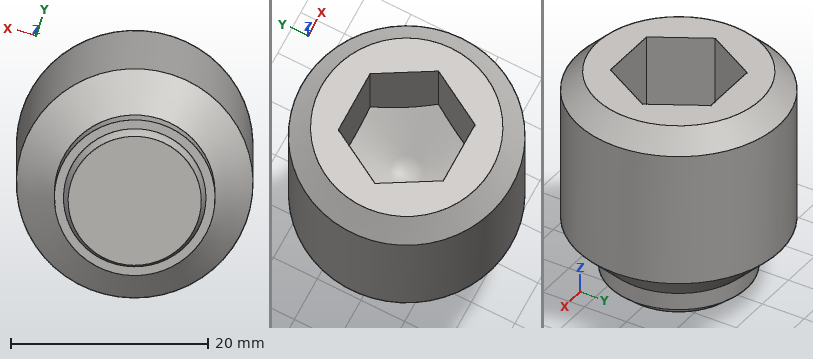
import cadquery as cq
import math

screw_diameter = 24.0
overall_height = 25.0
top_chamfer = 2.25
collar_diameter = 16.3
collar_bottom = 1.25
collar_top = 3.25

hex_across_flats = 12.0
socket_depth = 9.0
drill_point_angle = 120.0

ball_radius = 7.5
ball_flat_radius = 6.75

screw_radius = screw_diameter / 2
collar_radius = collar_diameter / 2
taper_top = collar_top + screw_radius - collar_radius
ball_center = math.sqrt(ball_radius**2 - ball_flat_radius**2)
hex_across_corners = hex_across_flats / math.cos(math.radians(30))
socket_floor = overall_height - socket_depth


def make_ball():
    """Sphere with its lower cap cut off at Z = 0."""
    sphere = cq.Workplane("XY").sphere(ball_radius).translate((0, 0, ball_center))
    keep_size = 2 * (ball_radius + ball_center)
    upper_space = cq.Workplane("XY").box(keep_size, keep_size, keep_size, centered=(True, True, False))
    return sphere.intersect(upper_space)


def make_socket():
    """Hexagonal prism whose floor is a cone reaching out to the hexagon corners."""
    corner_radius = hex_across_corners / 2
    cone_height = corner_radius / math.tan(math.radians(drill_point_angle / 2))
    prism = (
        cq.Workplane("XY")
        .workplane(offset=socket_floor - cone_height)
        .polygon(6, hex_across_corners)
        .extrude(socket_depth + cone_height)
    )
    pointed_cylinder = (
        cq.Workplane("XZ")
        .moveTo(0, socket_floor - cone_height)
        .lineTo(corner_radius, socket_floor)
        .lineTo(corner_radius, overall_height)
        .lineTo(0, overall_height)
        .close()
        .revolve(360, (0, 0), (0, 1))
    )
    return prism.intersect(pointed_cylinder)


def make_screw(ball):
    """Turned body with the hexagonal socket above and the ball seat below."""
    body = (
        cq.Workplane("XZ")
        .moveTo(0, collar_bottom)
        .lineTo(collar_radius, collar_bottom)
        .lineTo(collar_radius, collar_top)
        .lineTo(screw_radius, taper_top)
        .lineTo(screw_radius, overall_height - top_chamfer)
        .lineTo(screw_radius - top_chamfer, overall_height)
        .lineTo(0, overall_height)
        .close()
        .revolve(360, (0, 0), (0, 1))
    )
    return body.cut(make_socket()).cut(ball)


ball = make_ball()
screw = make_screw(ball)

result = cq.Compound.makeCompound([screw.val(), ball.val()])